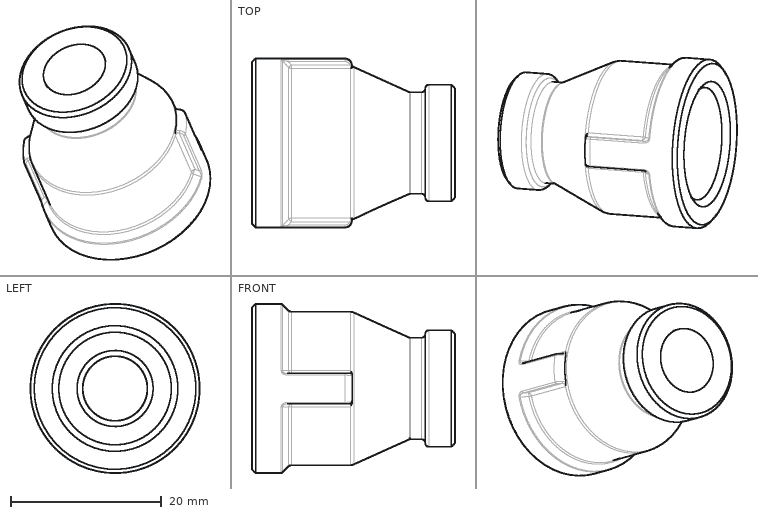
import cadquery as cq
import math

total_length = 27.0
collar_end = 3.97
rib_end = 13.3
cone_end = 20.95
ring_start = 23.0

collar_radius = 22.5 / 2
body_radius = 10.2
neck_radius = 13.5 / 2
ring_radius = 15.5 / 2

end_chamfer = 0.5
foot_fillet = 0.5
top_round = 0.25
cone_fillet = 1.08
neck_fillet = 0.4
ring_fillet = 0.49
rib_end_round = 1.0

rib_half_width = 2.0

mouth_radius = 8.35
mouth_depth = 0.86
socket_radius = 14.95 / 2
socket_depth = 9.05
funnel_radius = 5.05
funnel_end = 14.4
through_radius = 8.55 / 2

slope_end = collar_end + collar_radius - body_radius

relief_clearance = 2.7

tolerance = 0.003


def near(value, target):
    return abs(value - target) < tolerance


def middle_of(edge):
    """Middle of an edge as its X position, distance from the X axis and Z height."""
    middle = edge.positionAt(0.5)
    return middle.x, math.hypot(middle.y, middle.z), middle.z


def revolve_about_x(points):
    """Revolve a closed (x, radius) outline about the X axis."""
    outline = cq.Workplane("XY").polyline(points).close()
    return outline.revolve(360, (0, 0, 0), (1, 0, 0))


def fillet_ring(solid, ring_x, ring_edge_radius, fillet_radius):
    """Fillet the circular edge at one X position and radius about the X axis."""
    edges = []
    for edge in solid.edges().vals():
        x, radius, _ = middle_of(edge)
        if near(x, ring_x) and near(radius, ring_edge_radius):
            edges.append(edge)
    return solid.newObject(edges).fillet(fillet_radius)


def make_core():
    """Turned outside without the collar and ribs: body, cone, neck and end ring."""
    core = revolve_about_x(
        [
            (0, 0),
            (0, body_radius),
            (rib_end, body_radius),
            (cone_end, neck_radius),
            (ring_start, neck_radius),
            (ring_start, ring_radius),
            (total_length - end_chamfer, ring_radius),
            (total_length, ring_radius - end_chamfer),
            (total_length, 0),
        ]
    )
    core = fillet_ring(core, rib_end, body_radius, cone_fillet)
    core = fillet_ring(core, cone_end, neck_radius, neck_fillet)
    core = fillet_ring(core, ring_start, neck_radius, ring_fillet)
    return fillet_ring(core, ring_start, ring_radius, ring_fillet)


def make_sleeve():
    """Full-height sleeve from which the collar and the ribs are left standing."""
    sleeve = cq.Workplane("YZ").circle(collar_radius).extrude(rib_end)
    sleeve = sleeve.faces("<X").edges().chamfer(end_chamfer)
    return sleeve.faces(">X").edges().fillet(rib_end_round)


def make_relief(core):
    """Material removed around the body between the ribs, with rounded feet."""
    relief_end = (rib_end + cone_end) / 2
    outer_radius = collar_radius + relief_clearance
    blank = revolve_about_x(
        [
            (slope_end, 0),
            (slope_end, body_radius),
            (slope_end - (outer_radius - body_radius), outer_radius),
            (relief_end, outer_radius),
            (relief_end, 0),
        ]
    )
    rib_slab = cq.Workplane("XY").box(2 * total_length, 2 * outer_radius, 2 * rib_half_width)
    relief = blank.cut(core).cut(rib_slab)

    feet = []
    for edge in relief.edges().vals():
        x, radius, z = middle_of(edge)
        on_rib_side = near(abs(z), rib_half_width)
        on_slope_foot = near(x, slope_end)
        inside = radius < outer_radius - tolerance and x < relief_end - tolerance
        if inside and (on_rib_side or on_slope_foot):
            feet.append(edge)
    return relief.newObject(feet).fillet(foot_fillet)


def round_top_edges(standing):
    """Round the edges where the collar slope and the rib sides meet the outer surface."""
    round_start = rib_end - rib_end_round
    tops = []
    for edge in standing.edges().vals():
        x, radius, z = middle_of(edge)
        is_seam = near(z, 0)
        before_tip = collar_end - tolerance < x < round_start - tolerance
        on_outer_cylinder = before_tip and near(radius, collar_radius)
        past_round_start = x > round_start + tolerance
        on_rib_side = near(abs(z), rib_half_width)
        on_rounded_tip = past_round_start and on_rib_side and edge.Length() > rib_end_round
        if on_rounded_tip or (on_outer_cylinder and not is_seam):
            tops.append(edge)
    return standing.newObject(tops).fillet(top_round)


def make_bore():
    """Socket with a countersunk mouth, a funnel and a through hole."""
    return revolve_about_x(
        [
            (0, 0),
            (0, mouth_radius),
            (mouth_depth, socket_radius),
            (socket_depth, socket_radius),
            (funnel_end, funnel_radius),
            (funnel_end, through_radius),
            (total_length, through_radius),
            (total_length, 0),
        ]
    )


core = make_core()
collar_and_ribs = round_top_edges(make_sleeve().cut(make_relief(core)))
result = core.union(collar_and_ribs).cut(make_bore())